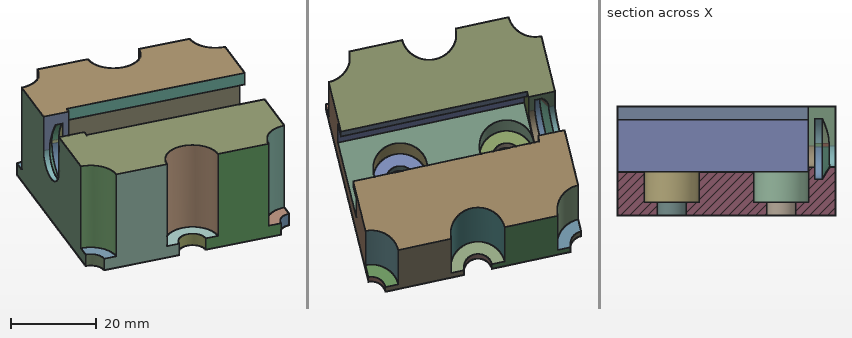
import cadquery as cq

side = 50.8
height = 25.4
half = side / 2

hole_diameter = 6.6
counterbore_diameter = 12.7
web_thickness = 3.15

channel_mouth_width = counterbore_diameter
channel_width = 19.05
channel_floor = 10.15
lip_thickness = 3.15
front_wall = 6.35

entry_width = 9.9
entry_radius = entry_width / 2
entry_axis_height = 16.25

groove_radius = 7.5
groove_lower_axis = 16.05
groove_upper_axis = 16.85
groove_front_radius = groove_lower_axis - (entry_axis_height - entry_radius)
groove_front = 1.4
groove_taper_end = 3.1
groove_back = 4.85
groove_edge = [
    (groove_front_radius, groove_front),
    (groove_radius, groove_taper_end),
    (groove_radius, groove_back),
]


def channel_cut(width, bottom):
    """Channel box from behind the front wall to the +Y face, open upward from bottom."""
    length = side - front_wall
    return cq.Workplane("XY").box(width, length, height - bottom, centered=(True, False, False)).translate(
        (0, front_wall - half, bottom)
    )


def bolt_hole_cut(x, y):
    """Vertical through hole with a wide bore above the bottom web."""
    through = cq.Workplane("XY").center(x, y).circle(hole_diameter / 2).extrude(height)
    bore = (
        cq.Workplane("XY", origin=(x, y, web_thickness))
        .circle(counterbore_diameter / 2)
        .extrude(height - web_thickness)
    )
    return through.union(bore)


def entry_slot_cut():
    """Slot with a semicircular bottom, running through the front wall."""
    return (
        cq.Workplane("XZ", origin=(0, -half, 0))
        .moveTo(-entry_radius, height)
        .lineTo(-entry_radius, entry_axis_height)
        .threePointArc((0, entry_axis_height - entry_radius), (entry_radius, entry_axis_height))
        .lineTo(entry_radius, height)
        .close()
        .extrude(-front_wall)
    )


def groove_end(height_of_axis):
    """Cone opening inward followed by a cylinder, about a horizontal axis."""
    return (
        cq.Workplane("XY", origin=(0, -half, height_of_axis))
        .polyline([(0, groove_front)] + groove_edge + [(0, groove_back)])
        .close()
        .revolve(360, (0, 0, 0), (0, 1, 0))
    )


def groove_cut():
    """Upright round-ended groove: two round ends joined by a straight middle."""
    opposite_edge = [(-x, y) for x, y in reversed(groove_edge)]
    middle = (
        cq.Workplane("XY", origin=(0, -half, groove_lower_axis))
        .polyline(groove_edge + opposite_edge)
        .close()
        .extrude(groove_upper_axis - groove_lower_axis)
    )
    return middle.union(groove_end(groove_lower_axis)).union(groove_end(groove_upper_axis))


body = cq.Workplane("XY").box(side, side, height, centered=(True, True, False))

undercut = channel_cut(channel_width, channel_floor).intersect(
    cq.Workplane("XY").box(side, side, height - lip_thickness, centered=(True, True, False))
)
body = body.cut(channel_cut(channel_mouth_width, channel_floor)).cut(undercut)

edge_holes = [(x, y) for x in (-half, half) for y in (-half, 0, half)]
channel_holes = [(0, -half / 2), (0, half / 2)]
for hole_x, hole_y in edge_holes + channel_holes:
    body = body.cut(bolt_hole_cut(hole_x, hole_y))

result = body.cut(entry_slot_cut()).cut(groove_cut())